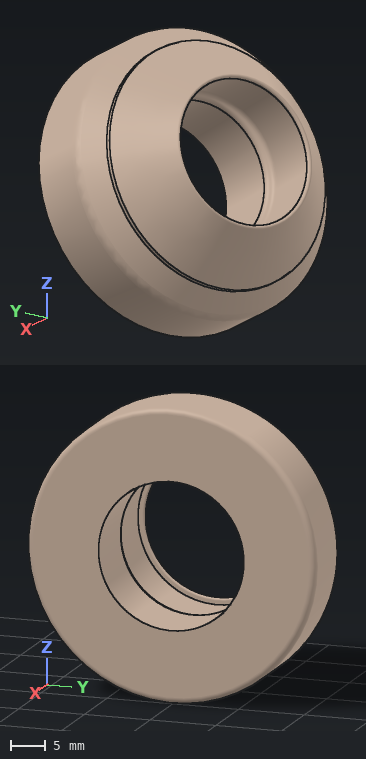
import cadquery as cq
import math

total_length = 21.2
outer_radius = 22.0
bore_radius = 11.05
cone_angle = math.radians(45)

land_radius = 18.75
recess_mouth_x = 7.88
seat_x = 11.45

lip_round = 0.4
wide_bore_radius = 12.05
bore_round = 1.0

shoulder_round = 2.0
rear_round = 1.0


def revolve_about_x(profile):
    return profile.close().revolve(360, (0, 0, 0), (1, 0, 0))


def make_nose():
    """Cone with a cylindrical land, a rounded lip at the tip and an S-shaped step in the bore."""
    lip_centre_radius = bore_radius + lip_round
    lip_end_x = lip_round * (1 - math.sin(cone_angle))
    lip_end_radius = lip_centre_radius + lip_round * math.cos(cone_angle)
    cone_end_x = lip_end_x + (land_radius - lip_end_radius) / math.tan(cone_angle)

    half_rise = (wide_bore_radius - bore_radius) / 2
    half_length = math.sqrt(half_rise * (2 * bore_round - half_rise))
    step_middle_x = seat_x - half_length
    step_start_x = step_middle_x - half_length

    return revolve_about_x(
        cq.Workplane("XY")
        .moveTo(lip_round, bore_radius)
        .threePointArc((0, lip_centre_radius), (lip_end_x, lip_end_radius))
        .lineTo(cone_end_x, land_radius)
        .lineTo(seat_x, land_radius)
        .lineTo(seat_x, bore_radius)
        .radiusArc((step_middle_x, bore_radius + half_rise), bore_round)
        .radiusArc((step_start_x, wide_bore_radius), -bore_round)
        .lineTo(2 * lip_round, wide_bore_radius)
        .lineTo(2 * lip_round, lip_centre_radius)
        .radiusArc((lip_round, bore_radius), lip_round)
    )


def round_outer_edge(ring, x, radius):
    """Fillet the outermost circular edge of a ring at the given X."""
    margin = 0.05
    reach = outer_radius + margin
    edge_box = cq.selectors.BoxSelector(
        (x - margin, -reach, -reach), (x + margin, reach, reach), boundingbox=True
    )
    return ring.edges(edge_box).edges(cq.selectors.RadiusNthSelector(-1)).fillet(radius)


def make_base():
    """Recessed ring with a conical shoulder blending into the full-diameter cylinder."""
    shoulder_x = recess_mouth_x + (outer_radius - land_radius) / math.tan(cone_angle)
    ring = revolve_about_x(
        cq.Workplane("XY")
        .moveTo(seat_x, bore_radius)
        .lineTo(seat_x, land_radius)
        .lineTo(recess_mouth_x, land_radius)
        .lineTo(shoulder_x, outer_radius)
        .lineTo(total_length, outer_radius)
        .lineTo(total_length, bore_radius)
    )
    ring = round_outer_edge(ring, shoulder_x, shoulder_round)
    return round_outer_edge(ring, total_length, rear_round)


nose = make_nose()
base = make_base()
result = cq.Compound.makeCompound([nose.val(), base.val()])